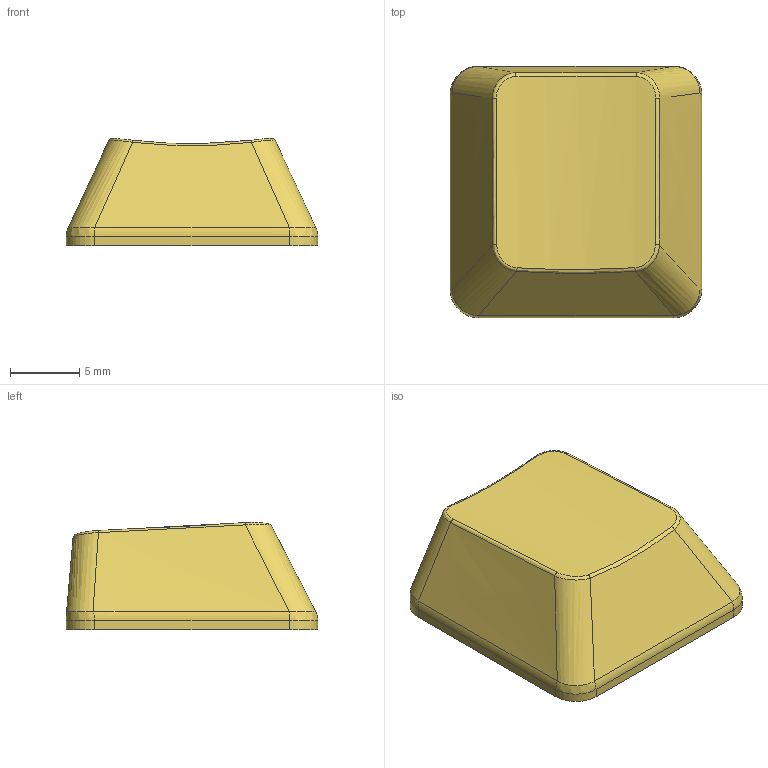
import cadquery as cq
import math

base_size = 18.16
half_base = base_size / 2
base_corner_radius = 2.05

skirt_height = 0.65
bend_height = 0.65
bend_top = skirt_height + bend_height
bend_steps = 4
side_wall_angle = 25.6
front_wall_angle = 27.3
back_wall_angle = 5.0

top_tilt = 3.1

blank_height = 8.0
blank_top_corner_radius = 1.8

dish_radius = 36.0
dish_floor_height = 7.05
dish_cutter_length = 3 * base_size
rim_fillet_radius = 0.28


def wall_slope(lean_angle):
    """Inward travel of a leaning wall per unit of height."""
    return math.tan(math.radians(lean_angle))


def bend_inset(height, lean_angle):
    """Distance a wall has moved inwards from the footprint at a height within its bend."""
    bend_radius = bend_height / math.sin(math.radians(lean_angle))
    rise = height - skirt_height
    return bend_radius - math.sqrt(bend_radius**2 - rise**2)


def rounded_rectangle(width, depth, corner_radius):
    """Wire of a rectangle with rounded corners, centred on the origin."""
    block = cq.Workplane("XY").rect(width, depth).extrude(-1).edges("|Z").fillet(corner_radius)
    return block.faces(">Z").val().outerWire()


def bend_section(height):
    """Outline of the body at a height within the bend; its corner radius shrinks with the inset."""
    side_inset = bend_inset(height, side_wall_angle)
    front_inset = bend_inset(height, front_wall_angle)
    back_inset = bend_inset(height, back_wall_angle)
    outline = rounded_rectangle(
        base_size - 2 * side_inset,
        base_size - front_inset - back_inset,
        base_corner_radius - side_inset,
    )
    return outline.translate(cq.Vector(0, (front_inset - back_inset) / 2, height))


def blank_top_section():
    """Outline of the tilted flat top, reaching the leaning front and back walls."""
    straight_rise = blank_height - bend_top
    tilt_slope = math.tan(math.radians(top_tilt))
    side_slope = wall_slope(side_wall_angle)
    front_slope = wall_slope(front_wall_angle)
    back_slope = wall_slope(back_wall_angle)

    half_width = half_base - bend_inset(bend_top, side_wall_angle) - straight_rise * side_slope
    front_reach = half_base - bend_inset(bend_top, front_wall_angle) - straight_rise * front_slope
    back_reach = half_base - bend_inset(bend_top, back_wall_angle) - straight_rise * back_slope
    front_y = -front_reach / (1 + tilt_slope * front_slope)
    back_y = back_reach / (1 - tilt_slope * back_slope)

    center_y = (front_y + back_y) / 2
    depth = (back_y - front_y) / math.cos(math.radians(top_tilt))
    outline = rounded_rectangle(2 * half_width, depth, blank_top_corner_radius)
    tilted_outline = outline.rotate(cq.Vector(0, 0, 0), cq.Vector(1, 0, 0), -top_tilt)
    return tilted_outline.translate(cq.Vector(0, center_y, blank_height - center_y * tilt_slope))


def make_blank():
    """Upright skirt, bend and straight leaning walls stacked into one body with a tilted flat top."""
    skirt = (
        cq.Workplane("XY")
        .rect(base_size, base_size)
        .extrude(skirt_height)
        .edges("|Z")
        .fillet(base_corner_radius)
    )
    bend_heights = [skirt_height + bend_height * step / bend_steps for step in range(bend_steps + 1)]
    bend = cq.Solid.makeLoft([bend_section(height) for height in bend_heights])
    walls = cq.Solid.makeLoft([bend_section(bend_top), blank_top_section()], True)
    return skirt.union(cq.Workplane(bend)).union(cq.Workplane(walls))


def make_dish_cutter():
    """Cylinder lying along Y and tilted about X, its lowest line forming the dish floor."""
    return (
        cq.Workplane("XZ")
        .center(0, dish_radius)
        .circle(dish_radius)
        .extrude(dish_cutter_length / 2, both=True)
        .rotate((0, 0, 0), (1, 0, 0), -top_tilt)
        .translate((0, 0, dish_floor_height))
    )


def make_keycap():
    """Blank with the dish cut into its top and the rim rounded."""
    body = make_blank().cut(make_dish_cutter())
    dish_face = body.faces(cq.selectors.NearestToPointSelector((0, 0, dish_floor_height)))
    return dish_face.edges().fillet(rim_fillet_radius)


result = make_keycap()